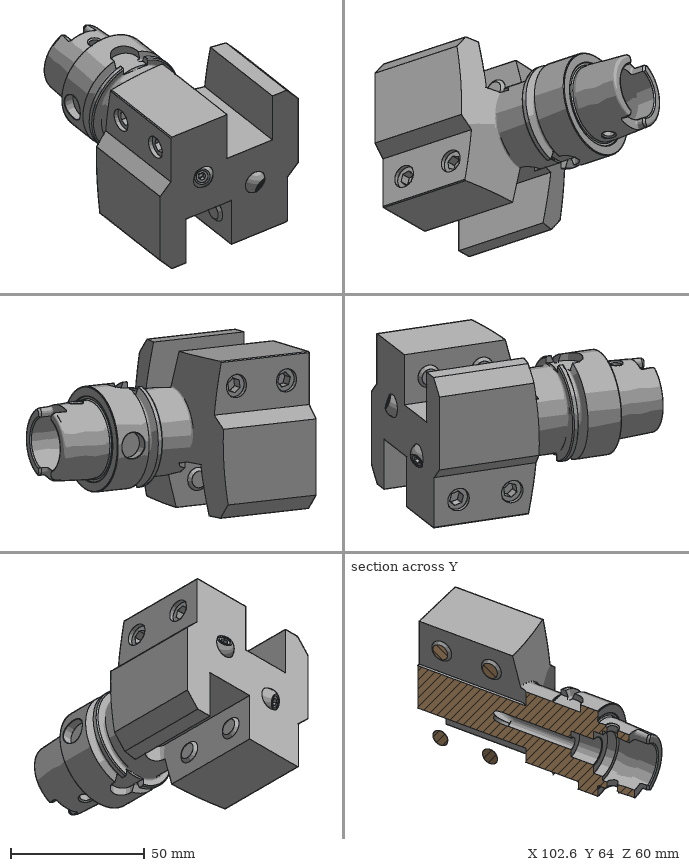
import cadquery as cq
import math

shank_length = 19.8
shank_gauge_radius = 15.0
shank_gauge_x = -1.8
shank_taper = 0.05
shank_end_round = 1.0
relief_radius = 14.8
relief_width = 0.9
undercut_radius = 16.4
undercut_depth = 0.25

collar_radius = 20.0
collar_length = 20.0
collar_edge = 0.3
collar_rear_chamfer = 0.5
groove_bottom_radius = 17.0
groove_centre_x = 15.9
groove_bottom_width = 1.5
groove_top_width = 4.0
groove_bottom_round = 0.65

neck_radius = 16.6
neck_round = 1.0
head_round = 0.8
head_start_x = 35.0
head_end_x = 80.0
head_cone_angle = 15.0

head_half_height = 30.0
head_half_width = 32.0
side_y = 27.0
step_top_z = 9.8
step_bottom_z = 5.1
corner_y = 26.5
corner_z = 24.0
side_edge = 0.4

pocket_near_y = -1.0
pocket_far_y = 20.0
pocket_floor_z = 10.0
relief_corner_radius = 4.45

bore_mouth_radius = 11.0
bore_radius = 10.5
bore_inner_radius = 9.7
bore_chamfer = bore_mouth_radius - bore_radius
clamp_groove_radius = 11.5
clamp_groove_start_x = -11.9
clamp_groove_end_x = -2.0
clamp_groove_flank = 6.85
bore_floor_x = 2.0
coolant_thread_radius = 5.9
coolant_thread_chamfer = 0.25
coolant_thread_end_x = 12.0
coolant_radius = 2.6
coolant_end_x = 40.0
coolant_branch_radius = 2.4
coolant_branch_start = 2.0

drive_slot_width = 8.0
drive_slot_round = 1.9
drive_slot_lip_z = 12.9
drive_slot_end_round = 0.7
drive_slot_flare = 0.5
upper_drive_slot_x = -13.7
lower_drive_slot_x = -16.1
cross_hole_x = -6.1
cross_hole_diameter = 4.5
cross_hole_sink = 5.6

upper_keyway_width = 11.0
upper_keyway_round = 5.0
lower_keyway_width = 9.0
lower_keyway_round = 4.3
upper_keyway_x = 8.0
lower_keyway_x = 9.0
keyway_floor_radius = 16.5

chip_hole_x = 7.0
chip_hole_diameter = 10.0
chip_hole_depth = 4.0
chip_hole_chamfer = 0.15

screw_xs = (48.0, 70.0)
screw_z = 20.0
screw_radius = 4.4
screw_tip_y = 0.2
screw_tip_radius = 3.2
screw_recess = 1.8
screw_socket_flats = 5.0
screw_socket_depth = 4.0
screw_socket_turns = (8.0, -16.0)

nozzle_radius = 5.0
nozzle_flat_distance = 4.0
nozzle_centre = cq.Vector(77.8, -12.0, 6.0)
jet_tilt = 30.0
nozzle_passage_radius = 1.5
insert_radius = 2.3
insert_length = 4.0
insert_recess = 0.3
insert_socket_flats = 2.5

jet_spread = math.sin(math.radians(jet_tilt)) * math.sqrt(0.5)
jet_direction = cq.Vector(math.cos(math.radians(jet_tilt)), -jet_spread, jet_spread)


def opposite(shape):
    """Copy of a shape turned half a turn about the spindle axis."""
    return shape.rotate((0, 0, 0), (1, 0, 0), 180)


def turned_shank():
    end_radius = shank_gauge_radius - shank_taper * (shank_length + shank_gauge_x)
    flank_left = groove_centre_x - groove_top_width / 2
    flank_right = groove_centre_x + groove_top_width / 2
    floor_left = groove_centre_x - groove_bottom_width / 2
    floor_right = groove_centre_x + groove_bottom_width / 2
    round_middle = shank_end_round * (1 - math.sqrt(0.5))
    shank = (
        cq.Workplane("XY")
        .moveTo(-shank_length, 0)
        .lineTo(-shank_length, end_radius - shank_end_round)
        .threePointArc(
            (-shank_length + round_middle, end_radius - round_middle),
            (-shank_length + shank_end_round, end_radius + shank_taper * shank_end_round),
        )
        .lineTo(shank_gauge_x, shank_gauge_radius)
        .lineTo(-relief_width, relief_radius)
        .lineTo(-undercut_depth, relief_radius)
        .lineTo(undercut_depth, relief_radius + 2 * undercut_depth)
        .lineTo(undercut_depth, undercut_radius - undercut_depth)
        .lineTo(0, undercut_radius)
        .lineTo(0, collar_radius - collar_edge)
        .lineTo(collar_edge, collar_radius)
        .lineTo(flank_left, collar_radius)
        .lineTo(floor_left, groove_bottom_radius)
        .lineTo(floor_right, groove_bottom_radius)
        .lineTo(flank_right, collar_radius)
        .lineTo(collar_length - collar_rear_chamfer, collar_radius)
        .lineTo(collar_length, collar_radius - collar_rear_chamfer)
        .lineTo(collar_length, neck_radius + neck_round)
        .radiusArc((collar_length + neck_round, neck_radius), -neck_round)
        .lineTo(head_start_x, neck_radius)
        .lineTo(head_start_x, 0)
        .close()
        .revolve(360, (0, 0, 0), (1, 0, 0))
    )
    groove_floor = cq.selectors.BoxSelector(
        (floor_left - 0.1, -collar_radius, -collar_radius),
        (floor_right + 0.1, collar_radius, collar_radius),
    )
    return shank.edges(groove_floor).edges("%CIRCLE").fillet(groove_bottom_round)


def head():
    half_section = [
        (-pocket_far_y, -head_half_height),
        (-corner_y, -head_half_height),
        (-head_half_width, -corner_z),
        (-head_half_width, step_bottom_z),
        (-side_y, step_top_z),
        (-side_y, head_half_height - side_edge),
        (-side_y + side_edge, head_half_height),
        (pocket_near_y, head_half_height),
        (pocket_near_y, pocket_floor_z),
        (pocket_far_y, pocket_floor_z),
    ]
    section = half_section + [(-y, -z) for y, z in half_section]
    prism = (
        cq.Workplane("YZ", origin=(head_start_x - neck_round, 0, 0))
        .polyline(section)
        .close()
        .extrude(head_end_x - head_start_x + neck_round)
    )
    outer_radius = math.hypot(head_half_width, head_half_height)
    cone_angle = math.radians(head_cone_angle)
    cone_length = (outer_radius - neck_radius) * math.tan(cone_angle)
    round_reach = head_round * math.tan((math.pi / 2 - cone_angle) / 2)
    envelope = (
        cq.Workplane("XY")
        .moveTo(head_start_x - neck_round, 0)
        .lineTo(head_start_x - neck_round, neck_radius)
        .lineTo(head_start_x - round_reach, neck_radius)
        .radiusArc(
            (
                head_start_x + round_reach * math.sin(cone_angle),
                neck_radius + round_reach * math.cos(cone_angle),
            ),
            -head_round,
        )
        .lineTo(head_start_x + cone_length, outer_radius)
        .lineTo(head_end_x, outer_radius)
        .lineTo(head_end_x, 0)
        .close()
        .revolve(360, (0, 0, 0), (1, 0, 0))
    )
    return prism.intersect(envelope)


def tool_pocket():
    """Pocket for a square tool shank, with cutter relief in both inner corners."""
    depth = head_half_height - pocket_floor_z
    plane = cq.Workplane("XY", origin=(0, 0, pocket_floor_z))
    pocket = plane.moveTo(head_start_x, pocket_near_y).rect(
        head_end_x - head_start_x, pocket_far_y - pocket_near_y, centered=False
    ).extrude(depth)
    corners = [
        (head_start_x, pocket_near_y + relief_corner_radius),
        (head_start_x, pocket_far_y - relief_corner_radius),
    ]
    return pocket.union(plane.pushPoints(corners).circle(relief_corner_radius).extrude(depth))


def centre_bore():
    """Clamping bore with its inner groove, then the coolant thread and coolant hole."""
    return (
        cq.Workplane("XY")
        .moveTo(-shank_length, 0)
        .lineTo(-shank_length, bore_mouth_radius)
        .lineTo(-shank_length + bore_chamfer, bore_radius)
        .lineTo(clamp_groove_start_x, bore_radius)
        .lineTo(clamp_groove_start_x + clamp_groove_flank, clamp_groove_radius)
        .lineTo(clamp_groove_end_x, clamp_groove_radius)
        .lineTo(clamp_groove_end_x, bore_inner_radius)
        .lineTo(bore_floor_x, bore_inner_radius)
        .lineTo(bore_floor_x, coolant_thread_radius + coolant_thread_chamfer)
        .lineTo(bore_floor_x + coolant_thread_chamfer, coolant_thread_radius)
        .lineTo(coolant_thread_end_x, coolant_thread_radius)
        .lineTo(coolant_thread_end_x, coolant_radius)
        .lineTo(coolant_end_x, coolant_radius)
        .lineTo(coolant_end_x, 0)
        .close()
        .revolve(360, (0, 0, 0), (1, 0, 0))
    )


def drive_slot_outline(start_x, widening):
    """Outline of the upper drive slot with rounded lips, widened evenly on all sides."""
    half = drive_slot_width / 2 + widening
    lip_round = drive_slot_round - widening
    lip_z = drive_slot_lip_z - widening
    return (
        cq.Workplane("YZ", origin=(start_x, 0, 0))
        .moveTo(-half, 0)
        .lineTo(-half, lip_z - lip_round)
        .radiusArc((-half - lip_round, lip_z), -lip_round)
        .lineTo(-shank_gauge_radius, lip_z)
        .lineTo(-shank_gauge_radius, collar_radius)
        .lineTo(shank_gauge_radius, collar_radius)
        .lineTo(shank_gauge_radius, lip_z)
        .lineTo(half + lip_round, lip_z)
        .radiusArc((half, lip_z - lip_round), -lip_round)
        .lineTo(half, 0)
        .close()
    )


def drive_slot(end_x):
    """Slot in the upper shank wall, flared at its mouth and rounded at its end."""
    slot = (
        drive_slot_outline(-shank_length, 0)
        .extrude(shank_length + end_x)
        .faces(">X")
        .edges()
        .fillet(drive_slot_end_round)
    )
    mouth_wire = drive_slot_outline(-shank_length, drive_slot_flare).val()
    inner_wire = drive_slot_outline(-shank_length + shank_end_round, 0).val()
    return slot.union(cq.Workplane(cq.Solid.makeLoft([mouth_wire, inner_wire], True)))


def cross_hole():
    """Hole through both shank walls, countersunk outside."""
    hole_radius = cross_hole_diameter / 2
    sink_radius = cross_hole_sink / 2
    shank_radius = shank_gauge_radius - shank_taper * (shank_gauge_x - cross_hole_x)
    rim_z = math.sqrt(shank_radius**2 - sink_radius**2)
    half = (
        cq.Workplane("XZ", origin=(cross_hole_x, 0, 0))
        .lineTo(hole_radius, 0)
        .lineTo(hole_radius, rim_z - (sink_radius - hole_radius))
        .lineTo(sink_radius, rim_z)
        .lineTo(sink_radius, collar_radius)
        .lineTo(0, collar_radius)
        .close()
        .revolve(360, (0, 0, 0), (0, 1, 0))
    )
    return half.union(opposite(half))


def keyway(width, start_x, end_round):
    """Flat-bottomed key slot in the top of the collar, round at its closed end."""
    return (
        cq.Workplane("XY", origin=(0, 0, keyway_floor_radius))
        .moveTo(start_x, -width / 2)
        .rect(collar_length - start_x, width, centered=False)
        .extrude(collar_radius - keyway_floor_radius)
        .edges("|Z and <X")
        .fillet(end_round)
    )


def with_chip_hole(body):
    """Blind data-chip hole in the -Y side of the collar, with a broken edge."""
    hole_radius = chip_hole_diameter / 2
    hole = (
        cq.Workplane("XZ", origin=(chip_hole_x, -collar_radius + chip_hole_depth, 0))
        .circle(hole_radius)
        .extrude(chip_hole_depth)
    )
    rim_y = -math.sqrt(collar_radius**2 - hole_radius**2)
    rim = cq.selectors.BoxSelector(
        (chip_hole_x - hole_radius, -collar_radius, -hole_radius),
        (chip_hole_x + hole_radius, rim_y + chip_hole_chamfer, hole_radius),
    )
    return body.cut(hole).edges(rim).chamfer(chip_hole_chamfer)


def screw_hole(screw_x):
    length = side_y + pocket_near_y
    return cq.Workplane("XZ", origin=(screw_x, -side_y, screw_z)).circle(screw_radius).extrude(-length)


def nozzle_seat():
    return cq.Workplane("XY", origin=nozzle_centre.toTuple()).sphere(nozzle_radius)


def coolant_branch():
    """Sloping hole from the centre bore to a nozzle seat."""
    start = cq.Vector(coolant_end_x - coolant_branch_start, 0, 0)
    path = nozzle_centre - start
    return cq.Workplane(cq.Solid.makeCylinder(coolant_branch_radius, path.Length, start, path))


housing = turned_shank().union(head()).cut(centre_bore()).cut(cross_hole())
housing = with_chip_hole(housing)
housing = housing.cut(drive_slot(upper_drive_slot_x)).cut(opposite(drive_slot(lower_drive_slot_x)))
housing = housing.cut(keyway(upper_keyway_width, upper_keyway_x, upper_keyway_round))
housing = housing.cut(opposite(keyway(lower_keyway_width, lower_keyway_x, lower_keyway_round)))
repeated_cuts = [tool_pocket(), nozzle_seat(), coolant_branch()] + [screw_hole(x) for x in screw_xs]
for cutter in repeated_cuts:
    housing = housing.cut(cutter).cut(opposite(cutter))


def clamp_screw(screw_x, socket_turn):
    head_y = -side_y + screw_recess
    length = screw_tip_y - head_y
    screw = (
        cq.Workplane("XZ", origin=(screw_x, head_y, screw_z))
        .circle(screw_radius)
        .extrude(-length)
        .faces(">Y")
        .chamfer(screw_radius - screw_tip_radius)
    )
    socket = (
        cq.Workplane("XZ", origin=(screw_x, head_y, screw_z))
        .transformed(rotate=(0, 0, socket_turn))
        .polygon(6, screw_socket_flats, circumscribed=True)
        .extrude(-screw_socket_depth)
    )
    return screw.cut(socket)


screws = []
for x, turn in zip(screw_xs, screw_socket_turns):
    screw = clamp_screw(x, turn)
    screws += [screw, opposite(screw)]


def jet_plane(distance):
    """Workplane across the jet axis, at a distance from the ball centre."""
    origin = nozzle_centre + jet_direction * distance
    return cq.Workplane(cq.Plane(origin.toTuple(), (0, 1, 1), jet_direction.toTuple()))


insert_front = nozzle_flat_distance - insert_recess
insert_back = insert_front - insert_length


def nozzle_ball():
    """Ball with a flat at the jet outlet, a passage through it and a seat for the insert."""
    ball = cq.Workplane("XY", origin=nozzle_centre.toTuple()).sphere(nozzle_radius)
    cap = jet_plane(nozzle_flat_distance).circle(nozzle_radius).extrude(nozzle_radius)
    passage = jet_plane(-2 * nozzle_radius).circle(nozzle_passage_radius).extrude(4 * nozzle_radius)
    seat = jet_plane(insert_back).circle(insert_radius).extrude(2 * nozzle_radius)
    return ball.cut(cap).cut(passage).cut(seat)


def jet_insert():
    """Hollow screw with a hexagonal opening along the jet axis."""
    body = jet_plane(insert_back).circle(insert_radius).extrude(insert_length)
    opening = jet_plane(insert_back).polygon(6, insert_socket_flats, circumscribed=True)
    return body.cut(opening.extrude(insert_length))


nozzles = [nozzle_ball(), opposite(nozzle_ball())]
inserts = [jet_insert(), opposite(jet_insert())]

bodies = [housing] + screws + nozzles + inserts
result = cq.Compound.makeCompound([body.val() for body in bodies])